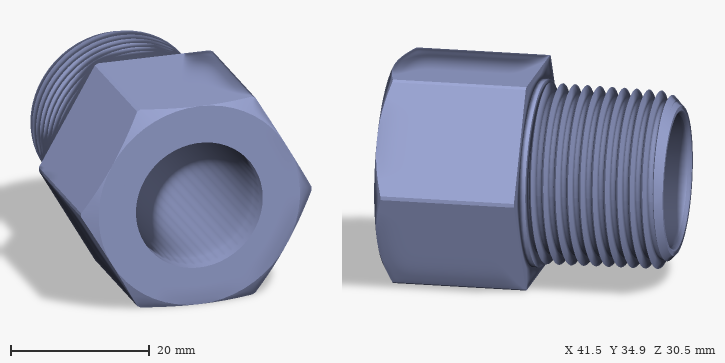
import cadquery as cq
import math

length = 41.5
thread_end = 19.65
hex_start = 20.5

bore_diameter = 19.2
collar_diameter = 27.22
core_end_diameter = 23.4
core_start_diameter = 22.82

across_flats = 30.5
across_corners = 34.9
end_chamfer_length = 1.35

thread_turns = 10
thread_turns_span = 18.15
pitch = thread_turns_span / thread_turns
ridge_height = 1.4
ridge_width = 1.1
ridge_sink = 0.12
first_crest_below = 2.1
lead_in_turns = 2
nose_radius = 10.85
bore_chamfer = 0.55


def revolve_about_x(points):
    return cq.Workplane("XY").polyline(points).close().revolve(360, (0, 0, 0), (1, 0, 0))


def disc(start, end, diameter):
    return cq.Workplane("YZ").workplane(offset=start).circle(diameter / 2).extrude(end - start)


def make_hex_head():
    corner_diameter = across_flats / math.cos(math.pi / 6)
    head = (
        cq.Workplane("YZ")
        .workplane(offset=hex_start)
        .polygon(6, corner_diameter)
        .extrude(length - hex_start)
    )
    turned_envelope = revolve_about_x([
        (hex_start, 0),
        (hex_start, across_corners / 2),
        (length - end_chamfer_length, across_corners / 2),
        (length, across_flats / 2),
        (length, 0),
    ])
    return head.intersect(turned_envelope)


def make_core():
    return revolve_about_x([
        (0, 0),
        (0, core_start_diameter / 2),
        (thread_end, core_end_diameter / 2),
        (thread_end, 0),
    ])


def make_ridge():
    """Helical ridge starting ahead of the nose and ending inside the hexagon."""
    slope = (core_end_diameter - core_start_diameter) / 2 / thread_end
    start = first_crest_below - lead_in_turns * pitch
    root_radius = core_start_diameter / 2 + slope * start
    path = cq.Wire.makeHelix(
        pitch, hex_start - start + pitch, root_radius, angle=math.degrees(math.atan(slope))
    )
    sunk_half_width = ridge_width / 2 * (1 + ridge_sink / ridge_height)
    ridge = (
        cq.Workplane("XZ")
        .polyline([
            (root_radius - ridge_sink, -sunk_half_width),
            (root_radius + ridge_height, 0),
            (root_radius - ridge_sink, sunk_half_width),
        ])
        .close()
        .sweep(cq.Workplane(path), isFrenet=True)
    )
    return ridge.rotate((0, 0, 0), (0, 1, 0), 90).translate((start, 0, 0))


def make_nose_envelope():
    """45 degree cone at the nose that trims the core and the first ridge turns."""
    outer_radius = collar_diameter / 2
    return revolve_about_x([
        (0, 0),
        (0, nose_radius),
        (outer_radius - nose_radius, outer_radius),
        (hex_start, outer_radius),
        (hex_start, 0),
    ])


def make_bore():
    mouth_radius = bore_diameter / 2 + bore_chamfer
    mouth = revolve_about_x([
        (0, 0),
        (0, mouth_radius),
        (bore_chamfer, bore_diameter / 2),
        (bore_chamfer, 0),
    ])
    return disc(0, length, bore_diameter).union(mouth)


threaded_end = make_core().union(make_ridge()).intersect(make_nose_envelope())
collar = disc(thread_end, hex_start, collar_diameter)
result = threaded_end.union(collar).union(make_hex_head()).cut(make_bore())